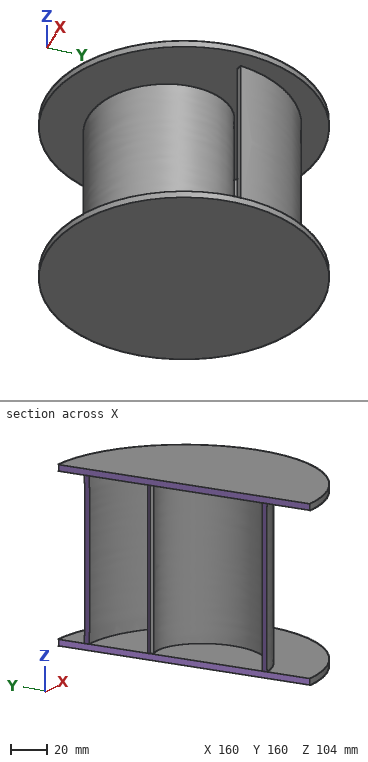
import math

import cadquery as cq

flange_diameter = 160.0
flange_thickness = 4.0
overall_height = 104.0

sheet_height = overall_height - 2 * flange_thickness
sheet_thickness = 3.5
roll_center_x = -0.5
roll_center_y = -2.2
outer_radius = 69.6
linear_shrink = 10.0
square_shrink = 20.5
start_turn = 0.022
end_turn = 1.25
points_per_turn = 60


def make_flange(bottom_z):
    """Plain disc whose lower face lies at bottom_z."""
    return cq.Workplane("XY", origin=(0, 0, bottom_z)).circle(flange_diameter / 2).extrude(flange_thickness)


def spiral_point(turn, inset):
    """Point on the spiral, moved inward along its normal by inset."""
    angle = 2 * math.pi * turn
    radius = outer_radius - linear_shrink * turn - square_shrink * turn**2
    radius_slope = -(linear_shrink + 2 * square_shrink * turn) / (2 * math.pi)
    normal_angle = angle - math.atan2(radius_slope, radius)
    x = roll_center_x + radius * math.cos(angle) - inset * math.cos(normal_angle)
    y = roll_center_y + radius * math.sin(angle) - inset * math.sin(normal_angle)
    return (x, y)


def make_rolled_sheet():
    """Sheet of constant thickness whose outer turn stands clear of the turn inside it."""
    steps = math.ceil((end_turn - start_turn) * points_per_turn)
    turns = [start_turn + (end_turn - start_turn) * i / steps for i in range(steps + 1)]
    outer_face = [spiral_point(turn, 0) for turn in turns]
    inner_face = [spiral_point(turn, sheet_thickness) for turn in reversed(turns)]
    return (
        cq.Workplane("XY", origin=(0, 0, flange_thickness))
        .moveTo(*outer_face[0])
        .spline(outer_face[1:], includeCurrent=True)
        .lineTo(*inner_face[0])
        .spline(inner_face[1:], includeCurrent=True)
        .close()
        .extrude(sheet_height)
    )


flanges = [make_flange(bottom_z) for bottom_z in (0, overall_height - flange_thickness)]
rolled_sheet = make_rolled_sheet()

result = cq.Compound.makeCompound([*(flange.val() for flange in flanges), rolled_sheet.val()])